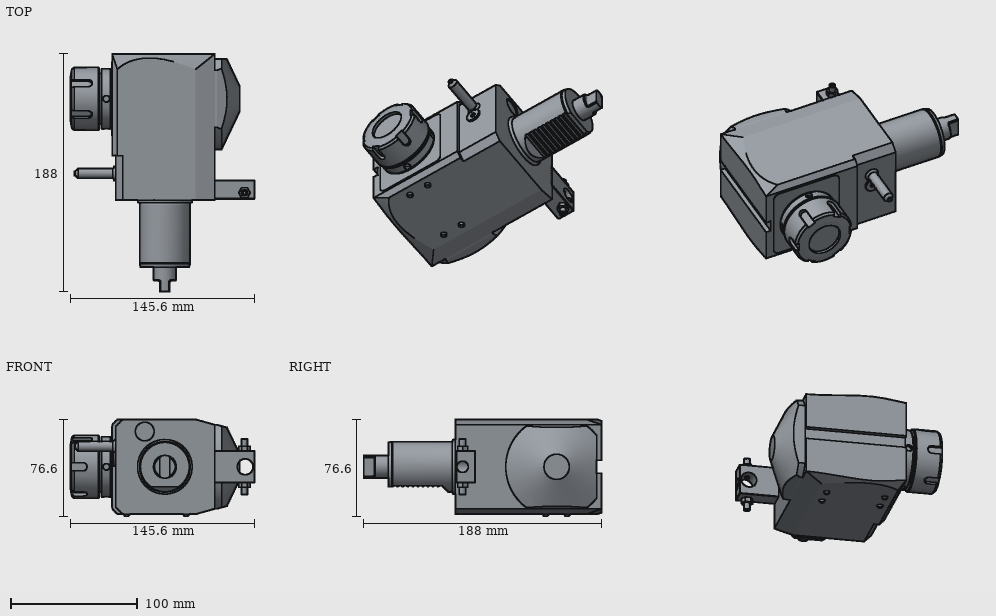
import cadquery as cq


HALF_HEIGHT = 37.5
RIGHT_X = 39.5
REAR_LEFT_X = -41.7
FRONT_LEFT_X = -39.0
BACK_Y = 115.5
STEP_Y = 35.0
REAR_CHAMFER = 4.2
FRONT_CHAMFER = 5.8
SLOPE_START_X = 24.4
SLOPE_END_Z = HALF_HEIGHT - REAR_CHAMFER
SLOPE_RATE = (HALF_HEIGHT - SLOPE_END_Z) / (RIGHT_X - SLOPE_START_X)
BEVEL_CORNER_Y = 103.3
BEVEL_RATE = REAR_CHAMFER / (BACK_Y - BEVEL_CORNER_Y)
BEVEL_CURVE_POINTS = [(-31.0, 108.0), (-14.0, 112.2), (3.5, 110.2)]
BACK_SLOT_WIDTH = 10.0
BACK_SLOT_DEPTH = 4.0
PLUG_X = -15.9
PLUG_Z = 27.9
PLUG_RADIUS = 7.4
PLUG_DEPTH = 1.3
PAD_THICKNESS = 0.2
PAD_LENGTH = 57.6
PAD_HEIGHT = 63.2
PAD_CORNER_RADIUS = 5.0

RIVET_X = [-30.2, 16.8]
RIVET_Y = [71.4, 88.3]
RIVET_BASE_RADIUS = 2.5
RIVET_TIP_RADIUS = 1.4
RIVET_HEIGHT = 1.6

TOOL_Y = 80.0
NUT_FACE_X = -74.6
NUT_FACE_RADIUS = 17.8
NUT_SHOULDER_X = -73.6
NUT_SHOULDER_RADIUS = 23.5
NUT_RIM_X = -71.7
NUT_RADIUS = 25.0
NUT_END_X = -51.8
NUT_END_CHAMFER = 0.8
NECK_RADIUS = 20.3
COLLAR_START_X = -50.2
COLLAR_END_X = -42.8
COLLAR_RADIUS = 23.9
COLLAR_CHAMFER = 0.5
COLLAR_GAP_RADIUS = 22.8
BORE_RADIUS = 13.8
BORE_DEPTH = 2.5
NUT_SLOT_WIDTH = 6.5
NUT_SLOT_FLOOR = 22.0
SHORT_SLOT_END_X = -61.5
LONG_SLOT_END_X = -57.5
NUT_SLOT_COUNT = 6
LONG_SLOT_ANGLES = (60, 120)
COLLAR_HOLE_X = -46.2
COLLAR_HOLE_RADIUS = 2.6
COLLAR_HOLE_DEPTH = 3.0
COLLAR_HOLE_COUNT = 4

COVER_RADIUS = 40.2
COVER_RIM_X = 44.8
COVER_TIP_X = 59.2
COVER_TIP_RADIUS = 10.0
COVER_TOP_Y = 111.6
COVER_STRAIGHT_X = 41.1

FLANGE_RADIUS = 21.6
FLANGE_END_Y = -2.3
FLANGE_ROUND = 1.2
UNDERCUT_RADIUS = 19.7
SHANK_RADIUS = 20.0
SHANK_START_Y = -3.8
GROOVE_Y = -49.4
GROOVE_RADIUS = 19.7
SHANK_TAPER_Y = -50.3
SHANK_END_Y = -53.0
SHANK_END_RADIUS = 19.3
FLAT_Z = -15.9
FLAT_START_Y = -9.6
FLAT_RAMP = SHANK_RADIUS + FLAT_Z
TOOTH_PITCH = 4.0
TOOTH_COUNT = 9
FIRST_TOOTH_Y = -13.6
TOOTH_HEIGHT = 0.9

DRIVE_RADIUS = 9.0
DRIVE_SHOULDER_Y = -64.0
TANG_END_Y = -72.5
TANG_WIDTH = 7.9
TANG_CHAMFER = 0.8
TANG_ROOT_RADIUS = 1.0

PIN_Y = 21.0
PIN_Z = 16.2
PIN_RADIUS = 4.0
PIN_END_X = -71.8
PIN_TIP_RADIUS = 1.8
PIN_TIP_X = -70.8
PIN_CONE_X = -68.5
PIN_FLARE_X = -41.0
PIN_FLARE_RADIUS = 5.6
SCREW_Z = 6.1
SCREW_RADIUS = 5.8
SCREW_HEIGHT = 1.5
SCREW_HEX = 4.0
SCREW_HEX_DEPTH = 1.0

ARM_END_X = 71.0
ARM_HALF_HEIGHT = 12.5
ARM_Y = (0.8, 15.7)
ARM_CHAMFER = 0.4
ARM_HOLE_X = 63.5
ARM_HOLE_RADIUS = 6.2
ARM_OUTLET_RADIUS = 4.5
STUD_BORE_RADIUS = 1.9
STUD_BORE_DEPTH = 0.5
STUD_X = 62.9
STUD_Y = 5.7
STUD_RADIUS = 2.5
STUD_TOP_Z = 22.1
STUD_CHAMFER = 0.4
HEX_NUT_DIAMETER = 9.2
HEX_NUT_HEIGHT = 3.8
STUD_HEX = 2.9
STUD_HEX_DEPTH = 1.5


def mirrored_z(shape):
    return shape.union(shape.mirror("XY"))


def turned_x(profile, y, z):
    """Revolve (x, radius) points about an axis parallel to X."""
    return (
        cq.Workplane("XY")
        .polyline(profile)
        .close()
        .revolve(360, (0, 0), (1, 0))
        .translate((0, y, z))
    )


def housing_section(left_x, chamfer, y_start, y_end):
    upper = [
        (RIGHT_X, SLOPE_END_Z),
        (SLOPE_START_X, HALF_HEIGHT),
        (left_x + chamfer, HALF_HEIGHT),
        (left_x, HALF_HEIGHT - chamfer),
    ]
    lower = [(x, -z) for x, z in reversed(upper)]
    section = cq.Workplane("XZ", origin=(0, y_start, 0)).polyline(upper + lower).close()
    return section.extrude(y_start - y_end)


def back_bevel():
    """Waste above an evenly sloped face between a curve on the top and one on the back."""
    edge_left = cq.Vector(REAR_LEFT_X, BACK_Y, SLOPE_END_Z)
    edge_right = cq.Vector(RIGHT_X, BACK_Y, SLOPE_END_Z)
    top_left = cq.Vector(REAR_LEFT_X, BACK_Y, HALF_HEIGHT)
    top_right = cq.Vector(RIGHT_X, BACK_Y, HALF_HEIGHT)
    curve_left = cq.Vector(REAR_LEFT_X + REAR_CHAMFER, BEVEL_CORNER_Y, HALF_HEIGHT)
    curve_right = cq.Vector(SLOPE_START_X, BEVEL_CORNER_Y, HALF_HEIGHT)
    middle = [cq.Vector(x, y, HALF_HEIGHT) for x, y in BEVEL_CURVE_POINTS]
    curve = cq.Edge.makeSpline([curve_left] + middle + [curve_right])
    lowered = [
        cq.Vector(point.x, BACK_Y, HALF_HEIGHT - BEVEL_RATE * (BACK_Y - point.y))
        for point in middle
    ]
    back_edge = cq.Edge.makeSpline([edge_left] + lowered + [edge_right])
    rim = cq.Wire.assembleEdges([
        curve,
        cq.Edge.makeLine(curve_right, top_right),
        cq.Edge.makeLine(top_right, top_left),
        cq.Edge.makeLine(top_left, curve_left),
    ])
    back_rim = cq.Wire.assembleEdges([
        back_edge,
        cq.Edge.makeLine(edge_right, top_right),
        cq.Edge.makeLine(top_right, top_left),
        cq.Edge.makeLine(top_left, edge_left),
    ])
    faces = [
        cq.Face.makeRuledSurface(back_edge, curve),
        cq.Face.makeFromWires(rim),
        cq.Face.makeFromWires(back_rim),
    ]
    for corners in (
        [edge_left, top_left, curve_left],
        [edge_right, top_right, curve_right],
    ):
        faces.append(cq.Face.makeFromWires(cq.Wire.makePolygon(corners, close=True)))
    solid = cq.Solid.makeSolid(cq.Shell.makeShell(faces))
    return cq.Workplane(solid.fix())


def housing():
    body = housing_section(REAR_LEFT_X, REAR_CHAMFER, STEP_Y, BACK_Y)
    body = body.union(housing_section(FRONT_LEFT_X, FRONT_CHAMFER, 0, STEP_Y))
    bevel = back_bevel()
    body = body.cut(bevel).cut(bevel.mirror("XY"))
    back_slot = cq.Workplane("XY").box(
        2 * (RIGHT_X - REAR_LEFT_X), 2 * BACK_SLOT_DEPTH, BACK_SLOT_WIDTH
    ).translate((0, BACK_Y, 0))
    plug = (
        cq.Workplane("XZ")
        .center(PLUG_X, PLUG_Z)
        .circle(PLUG_RADIUS)
        .extrude(-PLUG_DEPTH)
    )
    pad = (
        cq.Workplane("YZ", origin=(REAR_LEFT_X, TOOL_Y, 0))
        .rect(PAD_LENGTH, PAD_HEIGHT)
        .extrude(-PAD_THICKNESS)
        .edges("|X")
        .fillet(PAD_CORNER_RADIUS)
    )
    return body.cut(back_slot).cut(plug).union(pad)


def rivets():
    rivet = cq.Solid.makeCone(
        RIVET_BASE_RADIUS, RIVET_TIP_RADIUS, RIVET_HEIGHT,
        pnt=cq.Vector(0, 0, -HALF_HEIGHT), dir=cq.Vector(0, 0, -1),
    )
    heads = cq.Workplane()
    for x in RIVET_X:
        for y in RIVET_Y:
            heads = heads.add(rivet.translate(cq.Vector(x, y, 0)))
    return heads.combine()


def nut_slot(angle, end_x):
    half_width = NUT_SLOT_WIDTH / 2
    straight_end = end_x - half_width
    slot = (
        cq.Workplane("XY", origin=(0, 0, NUT_SLOT_FLOOR))
        .moveTo(NUT_FACE_X, -half_width)
        .lineTo(straight_end, -half_width)
        .threePointArc((end_x, 0), (straight_end, half_width))
        .lineTo(NUT_FACE_X, half_width)
        .close()
        .extrude(NUT_RADIUS)
    )
    return slot.rotate((0, 0, 0), (1, 0, 0), angle - 90).translate((0, TOOL_Y, 0))


def collet_nut():
    nut = turned_x([
        (NUT_FACE_X, 0),
        (NUT_FACE_X, NUT_FACE_RADIUS),
        (NUT_SHOULDER_X, NUT_SHOULDER_RADIUS),
        (NUT_RIM_X, NUT_RADIUS),
        (NUT_END_X - NUT_END_CHAMFER, NUT_RADIUS),
        (NUT_END_X, NUT_RADIUS - NUT_END_CHAMFER),
        (NUT_END_X, NECK_RADIUS),
        (COLLAR_START_X, NECK_RADIUS),
        (COLLAR_START_X, COLLAR_RADIUS - COLLAR_CHAMFER),
        (COLLAR_START_X + COLLAR_CHAMFER, COLLAR_RADIUS),
        (COLLAR_END_X - COLLAR_CHAMFER, COLLAR_RADIUS),
        (COLLAR_END_X, COLLAR_RADIUS - COLLAR_CHAMFER),
        (COLLAR_END_X, COLLAR_GAP_RADIUS),
        (REAR_LEFT_X, COLLAR_GAP_RADIUS),
        (REAR_LEFT_X, 0),
    ], TOOL_Y, 0)
    bore = (
        cq.Workplane("YZ", origin=(NUT_FACE_X, TOOL_Y, 0))
        .circle(BORE_RADIUS)
        .extrude(BORE_DEPTH)
    )
    nut = nut.cut(bore)
    for index in range(NUT_SLOT_COUNT):
        angle = index * 360 / NUT_SLOT_COUNT
        end_x = LONG_SLOT_END_X if angle in LONG_SLOT_ANGLES else SHORT_SLOT_END_X
        nut = nut.cut(nut_slot(angle, end_x))
    hole = (
        cq.Workplane("XY", origin=(COLLAR_HOLE_X, 0, COLLAR_RADIUS - COLLAR_HOLE_DEPTH))
        .circle(COLLAR_HOLE_RADIUS)
        .extrude(2 * COLLAR_HOLE_DEPTH)
    )
    for index in range(COLLAR_HOLE_COUNT):
        turned_hole = hole.rotate((0, 0, 0), (1, 0, 0), index * 360 / COLLAR_HOLE_COUNT)
        nut = nut.cut(turned_hole.translate((0, TOOL_Y, 0)))
    return nut


def cover():
    """Conical disc trimmed by sloped flats above and below and one flat at the back."""
    disc = turned_x([
        (RIGHT_X, 0),
        (RIGHT_X, COVER_RADIUS),
        (COVER_RIM_X, COVER_RADIUS),
        (COVER_TIP_X, COVER_TIP_RADIUS),
        (COVER_TIP_X, 0),
    ], TOOL_Y, 0)
    tip_z = SLOPE_END_Z - SLOPE_RATE * (COVER_TIP_X - COVER_STRAIGHT_X)
    upper = [
        (RIGHT_X, SLOPE_END_Z),
        (COVER_STRAIGHT_X, SLOPE_END_Z),
        (COVER_TIP_X, tip_z),
    ]
    lower = [(x, -z) for x, z in reversed(upper)]
    trim_start_y = COVER_TOP_Y - 2 * COVER_RADIUS
    trim = (
        cq.Workplane("XZ", origin=(0, trim_start_y, 0))
        .polyline(upper + lower)
        .close()
        .extrude(trim_start_y - COVER_TOP_Y)
    )
    return disc.intersect(trim)


def shank():
    body = (
        cq.Workplane("XY")
        .lineTo(FLANGE_RADIUS, 0)
        .lineTo(FLANGE_RADIUS, FLANGE_END_Y + FLANGE_ROUND)
        .radiusArc((FLANGE_RADIUS - FLANGE_ROUND, FLANGE_END_Y), FLANGE_ROUND)
        .lineTo(UNDERCUT_RADIUS, FLANGE_END_Y)
        .lineTo(SHANK_RADIUS, SHANK_START_Y)
        .lineTo(SHANK_RADIUS, GROOVE_Y)
        .lineTo(GROOVE_RADIUS, GROOVE_Y)
        .lineTo(GROOVE_RADIUS, SHANK_TAPER_Y)
        .lineTo(SHANK_RADIUS, SHANK_TAPER_Y)
        .lineTo(SHANK_END_RADIUS, SHANK_END_Y)
        .lineTo(0, SHANK_END_Y)
        .close()
        .revolve(360, (0, 0), (0, 1))
    )
    root_z = FLAT_Z + TOOTH_HEIGHT
    last_tooth_y = FIRST_TOOTH_Y - (TOOTH_COUNT - 1) * TOOTH_PITCH
    outline = [(FLAT_START_Y + FLAT_RAMP, -SHANK_RADIUS), (FLAT_START_Y - TOOTH_HEIGHT, root_z)]
    for index in range(TOOTH_COUNT):
        tooth_y = FIRST_TOOTH_Y - index * TOOTH_PITCH
        outline += [
            (tooth_y + TOOTH_HEIGHT, root_z),
            (tooth_y, FLAT_Z),
            (tooth_y - TOOTH_HEIGHT, root_z),
        ]
    outline += [
        (last_tooth_y - TOOTH_PITCH + TOOTH_HEIGHT, root_z),
        (last_tooth_y - TOOTH_PITCH, FLAT_Z),
        (SHANK_END_Y, FLAT_Z),
        (SHANK_END_Y, -SHANK_RADIUS),
    ]
    waste = cq.Workplane("YZ").polyline(outline).close().extrude(SHANK_RADIUS, both=True)
    return body.cut(waste)


def drive_tang():
    half_width = TANG_WIDTH / 2
    bar = cq.Workplane("XZ").circle(DRIVE_RADIUS).extrude(-TANG_END_Y)
    waste = (
        cq.Workplane("XY")
        .moveTo(half_width, TANG_END_Y)
        .lineTo(half_width, DRIVE_SHOULDER_Y - TANG_ROOT_RADIUS)
        .radiusArc((half_width + TANG_ROOT_RADIUS, DRIVE_SHOULDER_Y), TANG_ROOT_RADIUS)
        .lineTo(DRIVE_RADIUS, DRIVE_SHOULDER_Y)
        .lineTo(DRIVE_RADIUS, TANG_END_Y)
        .close()
        .extrude(DRIVE_RADIUS, both=True)
    )
    tang = bar.cut(waste).cut(waste.mirror("YZ"))
    return tang.edges("|Y and (not >X)").chamfer(TANG_CHAMFER)


def locating_pin():
    return turned_x([
        (PIN_END_X, 0),
        (PIN_END_X, PIN_TIP_RADIUS),
        (PIN_TIP_X, PIN_TIP_RADIUS),
        (PIN_CONE_X, PIN_RADIUS),
        (PIN_FLARE_X, PIN_RADIUS),
        (FRONT_LEFT_X, PIN_FLARE_RADIUS),
        (FRONT_LEFT_X, 0),
    ], PIN_Y, PIN_Z)


def screw_head():
    base = cq.Workplane("YZ", origin=(FRONT_LEFT_X, PIN_Y, SCREW_Z))
    socket = (
        base.workplane(offset=-SCREW_HEIGHT)
        .polygon(6, SCREW_HEX)
        .extrude(SCREW_HEX_DEPTH)
    )
    return base.circle(SCREW_RADIUS).extrude(-SCREW_HEIGHT).cut(socket)


def stud():
    base = cq.Workplane("XY", origin=(STUD_X, STUD_Y, ARM_HALF_HEIGHT))
    nut = base.polygon(6, HEX_NUT_DIAMETER).extrude(HEX_NUT_HEIGHT)
    bolt = (
        base.circle(STUD_RADIUS)
        .extrude(STUD_TOP_Z - ARM_HALF_HEIGHT)
        .faces(">Z")
        .chamfer(STUD_CHAMFER)
    )
    socket = (
        cq.Workplane("XY", origin=(STUD_X, STUD_Y, STUD_TOP_Z - STUD_HEX_DEPTH))
        .polygon(6, STUD_HEX)
        .extrude(STUD_HEX_DEPTH)
    )
    return nut.union(bolt).cut(socket)


def arm():
    y_start, y_end = ARM_Y
    bar = (
        cq.Workplane("XY")
        .box(ARM_END_X - RIGHT_X, y_end - y_start, 2 * ARM_HALF_HEIGHT)
        .translate(((RIGHT_X + ARM_END_X) / 2, (y_start + y_end) / 2, 0))
        .edges("not <X")
        .chamfer(ARM_CHAMFER)
    )
    hole = (
        cq.Workplane("XZ", origin=(ARM_HOLE_X, 0, 0))
        .circle(ARM_HOLE_RADIUS)
        .extrude(-y_end)
    )
    outlet = (
        cq.Workplane("YZ", origin=(ARM_HOLE_X, STUD_Y, 0))
        .circle(ARM_OUTLET_RADIUS)
        .extrude(ARM_END_X - ARM_HOLE_X)
    )
    stud_bores = (
        cq.Workplane("XY", origin=(STUD_X, STUD_Y, 0))
        .circle(STUD_BORE_RADIUS)
        .extrude(ARM_HOLE_RADIUS + STUD_BORE_DEPTH, both=True)
    )
    bar = bar.cut(hole).cut(outlet).cut(stud_bores)
    return bar.union(mirrored_z(stud()))


result = housing()
for feature in (
    rivets(),
    collet_nut(),
    cover(),
    shank(),
    drive_tang(),
    locating_pin(),
    screw_head(),
    arm(),
):
    result = result.union(feature)